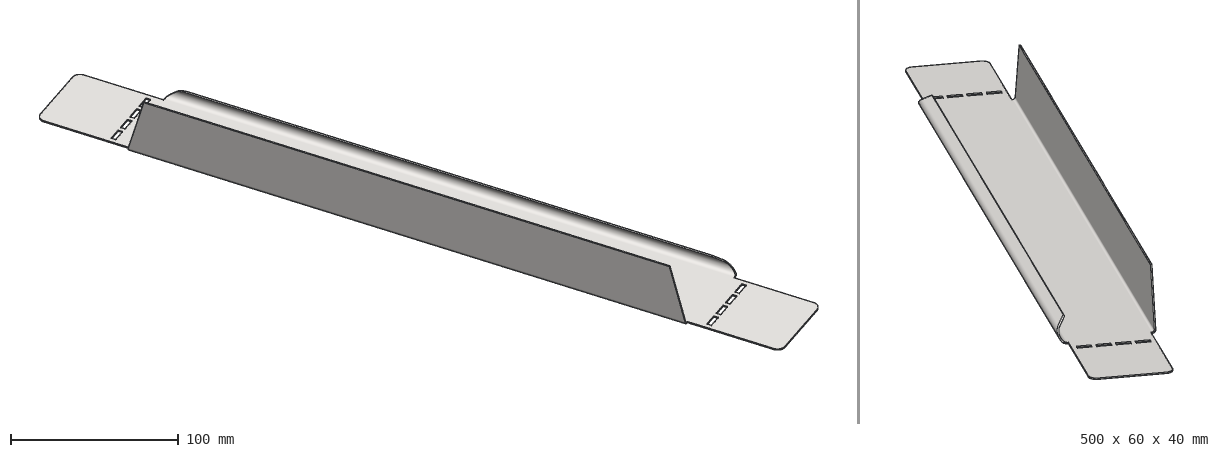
import cadquery as cq
import math

length = 500.0
depth = 60.0
height = 40.0
thickness = 1.0

front_edge = 3.0
rear_setback = 5.5
corner_radius = 5.0

wall_bend_radius = 2.5
wall_bottom_length = 374.0
wall_top_length = 353.0

curl_radius = 5.0
curl_angle = 135.0
lip_length = 6.0
curl_bottom_length = 383.0
curl_top_length = 353.0

slot_count = 4
slot_length = 9.0
slot_width = 3.0
slot_pitch = 12.0
slot_row_x = 200.0

rear_edge = depth - rear_setback
plate_width = rear_edge - front_edge
plate_center = (front_edge + rear_edge) / 2


def on_circle(center, radius, angle):
    """Point in YZ on a circle; the angle is in degrees from +Y."""
    turn = math.radians(angle)
    return (center[0] + radius * math.cos(turn), center[1] + radius * math.sin(turn))


def extrude_along_x(profile):
    return profile.extrude(length / 2, both=True)


def tapered_envelope(bottom_length, top_length, bottom, top):
    """Trapezoid in XZ, straight below its bottom level, running through the depth."""
    return (
        cq.Workplane("XZ")
        .moveTo(-bottom_length / 2, 0)
        .lineTo(bottom_length / 2, 0)
        .lineTo(bottom_length / 2, bottom)
        .lineTo(top_length / 2, top)
        .lineTo(-top_length / 2, top)
        .lineTo(-bottom_length / 2, bottom)
        .close()
        .extrude(-depth)
    )


def base_plate():
    plate = cq.Workplane("XY").box(length, plate_width, thickness, centered=(True, True, False))
    return plate.edges("|Z").fillet(corner_radius).translate((0, plate_center, 0))


def front_wall():
    center = (wall_bend_radius, wall_bend_radius)
    inner_radius = wall_bend_radius - thickness
    profile = (
        cq.Workplane("YZ")
        .moveTo(front_edge, 0)
        .lineTo(wall_bend_radius, 0)
        .threePointArc(on_circle(center, wall_bend_radius, 225), (0, wall_bend_radius))
        .lineTo(0, height)
        .lineTo(thickness, height)
        .lineTo(thickness, wall_bend_radius)
        .threePointArc(on_circle(center, inner_radius, 225), (wall_bend_radius, thickness))
        .lineTo(front_edge, thickness)
        .close()
    )
    envelope = tapered_envelope(wall_bottom_length, wall_top_length, wall_bend_radius, height)
    return extrude_along_x(profile).intersect(envelope)


def rear_curl():
    bend_start = depth - curl_radius
    center = (bend_start, curl_radius)
    inner_radius = curl_radius - thickness
    end_angle = curl_angle - 90
    middle_angle = curl_angle / 2 - 90
    lip_direction = math.radians(curl_angle)
    lip_y = lip_length * math.cos(lip_direction)
    lip_z = lip_length * math.sin(lip_direction)
    outer_end = on_circle(center, curl_radius, end_angle)
    inner_end = on_circle(center, inner_radius, end_angle)
    lip_top = outer_end[1] + lip_z
    profile = (
        cq.Workplane("YZ")
        .moveTo(rear_edge, 0)
        .lineTo(bend_start, 0)
        .threePointArc(on_circle(center, curl_radius, middle_angle), outer_end)
        .lineTo(outer_end[0] + lip_y, lip_top)
        .lineTo(inner_end[0] + lip_y, inner_end[1] + lip_z)
        .lineTo(*inner_end)
        .threePointArc(on_circle(center, inner_radius, middle_angle), (bend_start, thickness))
        .lineTo(rear_edge, thickness)
        .close()
    )
    envelope = tapered_envelope(curl_bottom_length, curl_top_length, thickness, lip_top)
    return extrude_along_x(profile).intersect(envelope)


def tab_slots():
    row_centers = [(-slot_row_x, plate_center), (slot_row_x, plate_center)]
    slots = cq.Workplane("XY")
    for x, y in row_centers:
        row = (
            cq.Workplane("XY")
            .center(x, y)
            .rarray(slot_width, slot_pitch, 1, slot_count)
            .rect(slot_width, slot_length)
            .extrude(thickness)
        )
        slots = slots.add(row)
    return slots.combine()


result = base_plate().union(front_wall()).union(rear_curl()).cut(tab_slots())